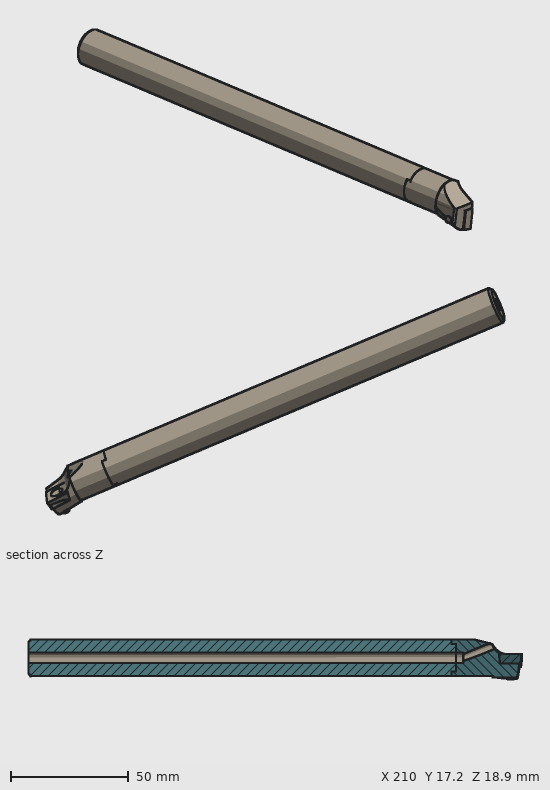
import cadquery as cq
import math


length = 210.0
shank_radius = 8.0
shank_chamfer = 1.0

joint_x = 180.0
tongue_length = 1.9
tongue_width = 11.8

bore_radius = 2.5
bore_end_x = 184.8
bore_point_length = 1.5
outlet_radius = 1.5
outlet_start = cq.Vector(bore_end_x, 0, -0.6)
outlet_end = cq.Vector(201.5, 6.7, -1.9)

collar_x = 197.5
collar_radius = 8.2
flare_start_radius = 8.5
flare_end_radius = 8.8
flare_end_y = -1.0
flare_end_z = -1.7
top_slope = 29.0
front_face_x = 209.2
front_relief = 8.0
bevel_start_x = 207.5
bevel_depth = 1.0

tilt = 10.0
back_flat_y = -collar_radius
chip_face_y = 1.9
relief_start_x = 189.8
relief_end_x = 197.5
relief_end_y = 6.0
gullet_end_x = 203.7

inscribed_radius = 4.8
corner_angle = 80.0
nose_radius = 0.6
insert_thickness = 4.0
insert_relief = 7.0
bisector_angle = 41.0
nose_bottom_z = -10.7

screw_radius = 1.58
screw_head_radius = 2.7
screw_head_height = 1.7

margin = 21.0

half_corner = math.radians(corner_angle / 2)
bisector = math.radians(bisector_angle)
nose_to_center = (inscribed_radius - nose_radius) / math.sin(half_corner)
insert_x = length - nose_radius - nose_to_center * math.sin(bisector)
insert_z = nose_bottom_z + nose_radius + nose_to_center * math.cos(bisector)


def tilted(shape):
    """Turn an upright shape about X so that its +Y side leans down."""
    return shape.rotate((0, 0, 0), (1, 0, 0), -tilt)


def round_bar(start_x, end_x, radius):
    """Cylinder about the X axis."""
    return cq.Workplane("YZ", origin=(start_x, 0, 0)).circle(radius).extrude(end_x - start_x)


def make_tongue():
    """Flat key across the full height of the shank end."""
    key = cq.Workplane("XY", origin=(joint_x + tongue_length / 2, 0, 0))
    key = key.box(tongue_length, tongue_width, 2 * shank_radius)
    return key.intersect(round_bar(joint_x, joint_x + tongue_length, shank_radius))


def make_bore():
    """Axial bore from the shank end to a conical point."""
    outline = cq.Workplane("XY").lineTo(0, bore_radius).lineTo(bore_end_x, bore_radius)
    outline = outline.lineTo(bore_end_x + bore_point_length, 0).close()
    return outline.revolve(360, (0, 0, 0), (1, 0, 0))


def make_outlet():
    """Slanted hole from the bore point to the gullet."""
    path = outlet_end - outlet_start
    return cq.Workplane(cq.Solid.makeCylinder(outlet_radius, path.Length, outlet_start, path))


def make_shank():
    """Chamfered rod with the tongue on its end."""
    rod = round_bar(0, joint_x, shank_radius).faces("<X").chamfer(shank_chamfer)
    return rod.union(make_tongue()).cut(make_bore())


def make_flare():
    """Oblique cone that widens the lower half of the head toward the cutting edge."""
    flare = cq.Workplane("YZ", origin=(collar_x, 0, 0)).circle(flare_start_radius)
    flare = flare.workplane(offset=length - collar_x).center(flare_end_y, flare_end_z)
    flare = flare.circle(flare_end_radius)
    lower_half = cq.Workplane("XY").box(2 * length, 2 * margin, margin).translate((length, 0, -margin / 2))
    return flare.loft(ruled=True).intersect(tilted(lower_half))


def make_top_slope_cut():
    """Wedge above the sloped top of the head."""
    run = length + margin - collar_x
    drop = run * math.tan(math.radians(top_slope))
    wedge = cq.Workplane("XZ").moveTo(collar_x, shank_radius)
    wedge = wedge.lineTo(collar_x + run, shank_radius - drop)
    wedge = wedge.lineTo(collar_x + run, margin).lineTo(collar_x, margin).close()
    return wedge.extrude(margin, both=True)


def make_gullet_cut():
    """Stock above the chip face, the hollow behind it and the sloped run-in."""
    cut = cq.Workplane("XY").moveTo(length + margin, chip_face_y).lineTo(gullet_end_x, chip_face_y)
    cut = cut.tangentArcPoint((relief_end_x, relief_end_y), relative=False)
    cut = cut.lineTo(relief_start_x, shank_radius).lineTo(relief_start_x, margin)
    cut = cut.lineTo(length + margin, margin).close()
    return tilted(cut.extrude(margin, both=True))


def make_back_cut():
    """Stock outside the back flat."""
    size = 2 * margin
    cut = cq.Workplane("XY").box(size, size, size).translate((length, back_flat_y - margin, 0))
    return tilted(cut)


def front_x(y):
    """X of the relieved front face at a given Y."""
    return front_face_x + y * math.tan(math.radians(front_relief))


def make_front_cut():
    """Stock ahead of the front face and of the bevel at its back edge."""
    bevel_end_y = back_flat_y + bevel_depth
    cut = cq.Workplane("XY").moveTo(front_x(margin), margin).lineTo(front_x(bevel_end_y), bevel_end_y)
    cut = cut.lineTo(bevel_start_x, back_flat_y).lineTo(bevel_start_x, -margin)
    cut = cut.lineTo(length + margin, -margin).lineTo(length + margin, margin).close()
    return tilted(cut.extrude(margin, both=True))


def make_insert_blank():
    """Rhombus with rounded corners, narrowing away from the chip face."""
    long_half = inscribed_radius / math.sin(half_corner)
    short_half = inscribed_radius / math.cos(half_corner)
    nose = (long_half * math.sin(bisector), -long_half * math.cos(bisector))
    side = (short_half * math.cos(bisector), short_half * math.sin(bisector))
    corners = [nose, side, (-nose[0], -nose[1]), (-side[0], -side[1]), nose]
    rhombus = cq.Sketch().polygon(corners).vertices().fillet(nose_radius)
    blank = cq.Workplane("XZ", origin=(insert_x, chip_face_y, insert_z)).placeSketch(rhombus)
    return tilted(blank.extrude(insert_thickness, taper=insert_relief))


def make_screw():
    """Countersunk screw, its head flush with the chip face and its end with the back flat."""
    cone_end_y = chip_face_y - screw_head_height
    outline = cq.Workplane("XY").moveTo(0, chip_face_y).lineTo(screw_head_radius, chip_face_y)
    outline = outline.lineTo(screw_radius, cone_end_y).lineTo(screw_radius, back_flat_y)
    outline = outline.lineTo(0, back_flat_y).close()
    screw = outline.revolve(360, (0, 0, 0), (0, 1, 0))
    return tilted(screw.translate((insert_x, 0, insert_z)))


def make_head():
    """Neck, collar and flare, trimmed and bored."""
    neck = round_bar(joint_x, collar_x, shank_radius)
    collar = round_bar(collar_x, length, collar_radius)
    stock = neck.union(collar).union(make_flare())
    head = stock.cut(make_top_slope_cut()).cut(make_gullet_cut())
    head = head.cut(make_back_cut()).cut(make_front_cut())
    return head.cut(make_tongue()).cut(make_bore()).cut(make_outlet())


shank = make_shank()
screw = make_screw()
insert_blank = make_insert_blank()
insert = insert_blank.cut(screw)
head = make_head().cut(insert_blank).cut(screw)

result = cq.Compound.makeCompound([shank.val(), head.val(), insert.val(), screw.val()])